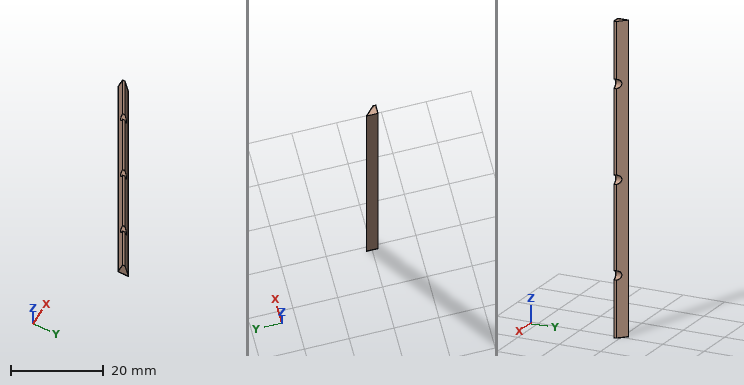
import cadquery as cq

width = 2.0
depth = 2.6
height = 72.8

edge_depth = depth - width

notch_radius = 1.1
notch_count = 3
notch_pitch = 22.0
notch_axis_offset = 0.2
notch_axis_x = width + notch_axis_offset


def make_strip():
    """Upright strip with a right-angled, sloping-backed cross-section."""
    outline = [(0, 0), (width, 0), (width, edge_depth), (0, depth)]
    return cq.Workplane("XY").polyline(outline).close().extrude(height / 2, both=True)


def make_notch(z):
    """Cylinder along Y that cuts one notch at height z."""
    axis_start = cq.Vector(notch_axis_x, 0, z)
    along_y = cq.Vector(0, 1, 0)
    return cq.Workplane(cq.Solid.makeCylinder(notch_radius, depth, axis_start, along_y))


result = make_strip()
for index in range(notch_count):
    notch_z = (index - (notch_count - 1) / 2) * notch_pitch
    result = result.cut(make_notch(notch_z))